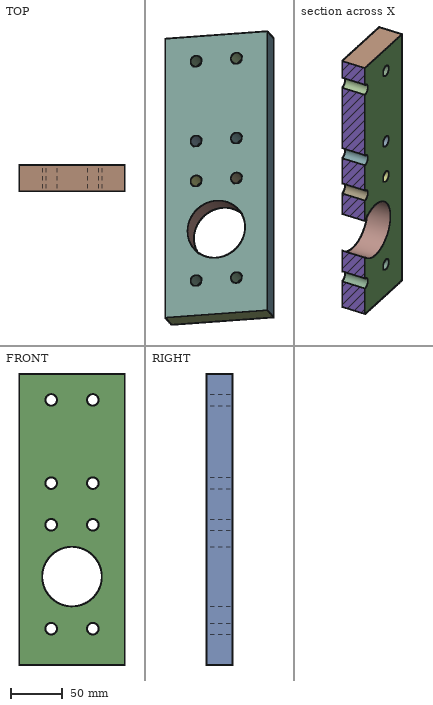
import cadquery as cq

width = 101.5
thickness = 25.5
height = 280.0

bore_diameter = 57.0
bore_height = 85.0

bolt_diameter = 11.0
bolt_spacing = 40.0
lowest_row_height = 35.0
second_row_height = 135.0
third_row_height = second_row_height + bolt_spacing
highest_row_height = 255.0
row_heights = [lowest_row_height, second_row_height, third_row_height, highest_row_height]


def through_holes(centres, diameter):
    """Cylinders along Y through the full plate thickness; centres are (x, z)."""
    return (
        cq.Workplane("XZ")
        .workplane(offset=-thickness / 2)
        .pushPoints(centres)
        .circle(diameter / 2)
        .extrude(thickness)
    )


plate = cq.Workplane("XY").box(width, thickness, height, centered=(True, True, False))

bolt_centres = [
    (side * bolt_spacing / 2, row_height)
    for row_height in row_heights
    for side in (-1, 1)
]
bolt_holes = through_holes(bolt_centres, bolt_diameter)
bore = through_holes([(0, bore_height)], bore_diameter)

result = plate.cut(bolt_holes).cut(bore)